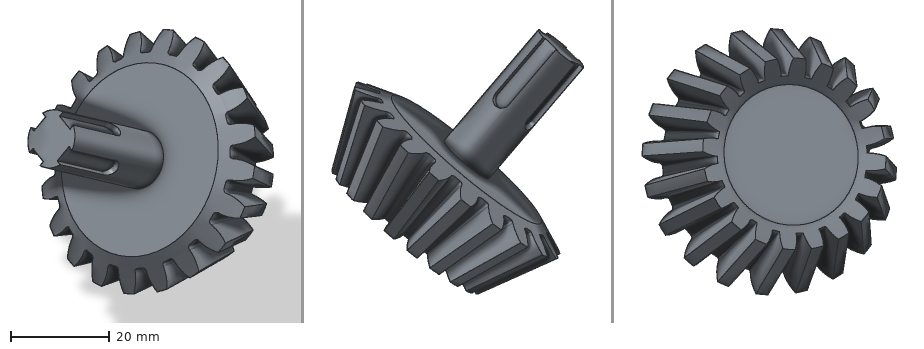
import cadquery as cq
import math

TILT_ANGLE = 45.0

TOOTH_COUNT = 20
TOOTH_PITCH = 360.0 / TOOTH_COUNT
TOOTH_PHASE = 2.0
OUTER_RADIUS = 27.3
INNER_TIP_RADIUS = 19.65
FRONT_FLAT_RADIUS = 20.0
BACK_FLAT_RADIUS = 14.4
END_CONE_DROP = 2.95
TOOTH_AXIAL_LENGTH = 16.3
END_CONE_SLOPE = END_CONE_DROP / (OUTER_RADIUS - FRONT_FLAT_RADIUS)
END_CONE_ANGLE = math.atan(END_CONE_SLOPE)
BACK_TIP_Z = -END_CONE_DROP - TOOTH_AXIAL_LENGTH
BACK_FLAT_Z = BACK_TIP_Z + (INNER_TIP_RADIUS - BACK_FLAT_RADIUS) * END_CONE_SLOPE

FRONT_ROOT_RADIUS = 22.3
BACK_ROOT_RADIUS = 16.05
FRONT_ROOT_Z = -(FRONT_ROOT_RADIUS - FRONT_FLAT_RADIUS) * END_CONE_SLOPE
BACK_ROOT_Z = BACK_TIP_Z + (INNER_TIP_RADIUS - BACK_ROOT_RADIUS) * END_CONE_SLOPE
ROOT_HALF_WIDTH = 0.65
FRONT_FILLET = 0.75
BACK_FILLET = 0.08
FRONT_FLANK = [(2.25, 3.8), (3.55, 6.0)]
BACK_FLANK = [(1.2, 2.35), (2.15, 4.5)]
BACK_OVERRUN = 0.15

SHAFT_RADIUS = 6.0
SHAFT_LENGTH = 30.05
KEYWAY_COUNT = 4
KEYWAY_WIDTH = 4.0
KEYWAY_DEPTH = 1.5
KEYWAY_LENGTH = 16.9


def gear_blank():
    """Truncated cone with a conical rim in front and a conical recess behind."""
    half_section = [
        (0, 0),
        (FRONT_FLAT_RADIUS, 0),
        (OUTER_RADIUS, -END_CONE_DROP),
        (INNER_TIP_RADIUS, BACK_TIP_Z),
        (BACK_FLAT_RADIUS, BACK_FLAT_Z),
        (0, BACK_FLAT_Z),
    ]
    return cq.Workplane("XZ").polyline(half_section).close().revolve(360, (0, 0), (0, 1))


def gap_outline(root_radius, root_z, fillet, flank):
    """Symmetric outline of one gap, in a plane tangent to the end cone, x across and y outwards."""
    plane = cq.Plane(
        origin=(root_radius, 0, root_z),
        xDir=(0, -1, 0),
        normal=(math.sin(END_CONE_ANGLE), 0, math.cos(END_CONE_ANGLE)),
    )
    (flank_x, flank_y), (end_x, end_y) = flank
    fillet_x = ROOT_HALF_WIDTH + fillet
    bend_x = ROOT_HALF_WIDTH + fillet * math.sin(math.pi / 4)
    bend_y = fillet * (1 - math.cos(math.pi / 4))
    outline = (
        cq.Workplane(plane)
        .moveTo(-ROOT_HALF_WIDTH, 0)
        .lineTo(ROOT_HALF_WIDTH, 0)
        .threePointArc((bend_x, bend_y), (fillet_x, fillet))
        .threePointArc((flank_x, flank_y), (end_x, end_y))
        .lineTo(-end_x, end_y)
        .threePointArc((-flank_x, flank_y), (-fillet_x, fillet))
        .threePointArc((-bend_x, bend_y), (-ROOT_HALF_WIDTH, 0))
        .close()
    )
    return outline.val()


def tooth_gap():
    """Cutter for one gap centred on +X, lofted from the large end to the small end."""
    front = gap_outline(FRONT_ROOT_RADIUS, FRONT_ROOT_Z, FRONT_FILLET, FRONT_FLANK)
    back = gap_outline(BACK_ROOT_RADIUS, BACK_ROOT_Z - BACK_OVERRUN, BACK_FILLET, BACK_FLANK)
    return cq.Workplane(cq.Solid.makeLoft([front, back], True))


def keyway():
    """Cutter for the keyway on the +X side: flat floor, round lower end, open at the shaft end."""
    floor = SHAFT_RADIUS - KEYWAY_DEPTH
    half_width = KEYWAY_WIDTH / 2
    round_end_z = SHAFT_LENGTH - KEYWAY_LENGTH
    round_center_z = round_end_z + half_width
    return (
        cq.Workplane("YZ", origin=(floor, 0, 0))
        .moveTo(-half_width, SHAFT_LENGTH)
        .lineTo(-half_width, round_center_z)
        .threePointArc((0, round_end_z), (half_width, round_center_z))
        .lineTo(half_width, SHAFT_LENGTH)
        .close()
        .extrude(SHAFT_RADIUS)
    )


def shaft():
    """Round shaft rising from the flat face, with keyways at its free end."""
    body = cq.Workplane("XY").circle(SHAFT_RADIUS).extrude(SHAFT_LENGTH)
    cutter = keyway()
    for i in range(KEYWAY_COUNT):
        body = body.cut(cutter.rotate((0, 0, 0), (0, 0, 1), i * 360 / KEYWAY_COUNT))
    return body


gear = gear_blank()
gap = tooth_gap()
for i in range(TOOTH_COUNT):
    gap_angle = TOOTH_PHASE + (i + 0.5) * TOOTH_PITCH
    gear = gear.cut(gap.rotate((0, 0, 0), (0, 0, 1), gap_angle))

result = gear.union(shaft()).rotate((0, 0, 0), (1, 0, 0), TILT_ANGLE)